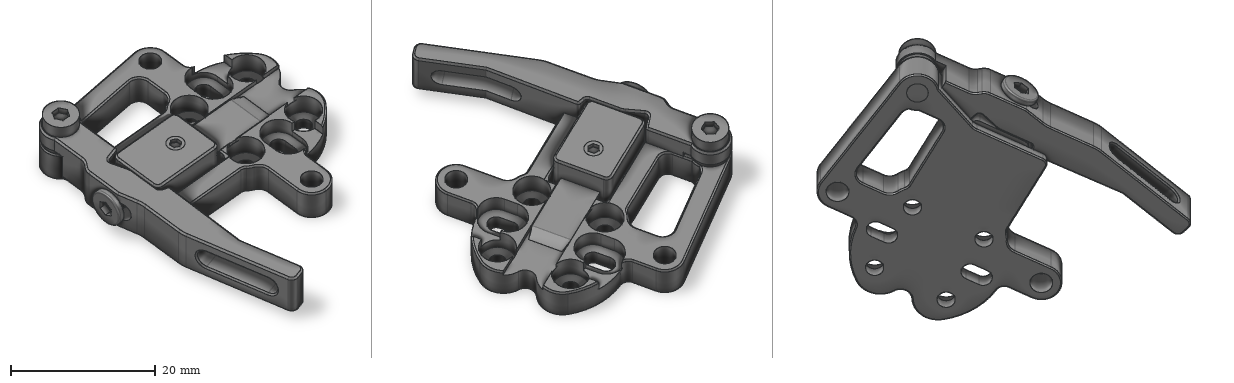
import cadquery as cq
import math

base_top = 4.95
edge_chamfer = 0.25
bottom_chamfer = 0.2

mount_y = 3.0
head_radius = 11.15
lobe_x = 4.55
lobe_y = 8.95
lobe_radius = head_radius - math.hypot(lobe_x, lobe_y - mount_y)
notch_bottom_y = 10.0
neck_fillet = 1.35

mount_offset = 5.6
mount_hole_diameter = 2.5
counterbore_diameter = 5.25
mount_seat_z = 1.73
slot_offset = 7.45
slot_width = 2.55
slot_travel = 2.0
slot_seat_z = 2.35
mount_wall_radius = 3.3
mount_wall_ear_fillet = 1.85
mount_wall_side_fillet = 1.25

relief_floor_z = 3.35
relief_inner_x = 6.4
relief_bottom_y = 3.35
relief_top_y = 8.3

ear_x = 16.0
ear_radius = 2.85
ear_hole_diameter = 3.15
pivot_x = -13.8
pivot_y = -19.55
boss_radius = 3.0
body_half_width = 7.75
body_front_y = -18.1
bar_end_x = -4.1
boss_end_x = -11.45
window_left_top_x = -15.5
window_left_bottom_x = -14.0
window_bottom_y = -17.0

channel_half_width = 3.05
channel_floor_z = 4.2
recess_half_width = 4.7
recess_back_y = -5.25
recess_corner = 1.0
recess_floor_z = 1.5

lever_top = 8.1
lever_bottom = 1.5
lever_mid_z = (lever_top + lever_bottom) / 2
lever_top_chamfer = 0.3
eye_bottom = 5.65
eye_step_x = -10.75
lever_back_y = -17.2
lever_front_y = -22.25
pad_front_y = -23.35
pad_back_y = -18.7
handle_front_y = -22.4
handle_angle = math.radians(15)
handle_bend_x = 13.1
handle_back_x = 19.6
handle_back_y = -17.4
handle_end_x = 30.6
handle_corner = 1.05
handle_slot_width = 3.0
handle_slot_length = 12.95
handle_slot_start = 2.35
handle_slot_chamfer = 0.25
draw_hole_diameter = 3.15
tilted_hole_x = 1.95

block_half_width = 4.5
block_back_y = -6.55
block_corner = 1.0
tongue_half_width = 3.0
tongue_top = 4.75
tongue_end_y = 5.0
tongue_ramp_y = 2.9
tongue_end_taper = 0.45

pivot_head_diameter = 5.2
pivot_head_top = 10.05
pivot_shank_diameter = 3.0
washer_radius = 2.8
draw_head_diameter = 5.5
draw_head_front_y = -24.4
draw_head_fillet = 0.25
draw_shank_diameter = 2.5
draw_shank_end_y = -13.3
socket_flats = 2.15
socket_depth = 1.0
set_screw_y = -10.8
set_screw_diameter = 2.65
set_screw_length = 1.7
set_socket_flats = 1.55
set_socket_depth = 0.7


def rounded_outline(corners):
    """Closed wire workplane through (x, y, radius) corners, each rounded by its radius."""
    cuts = []
    for i, (x, y, radius) in enumerate(corners):
        previous_x, previous_y, _ = corners[i - 1]
        next_x, next_y, _ = corners[(i + 1) % len(corners)]
        here = cq.Vector(x, y)
        back = (cq.Vector(previous_x, previous_y) - here).normalized()
        ahead = (cq.Vector(next_x, next_y) - here).normalized()
        half_angle = back.getAngle(ahead) / 2
        reach = radius / math.tan(half_angle)
        bisector = (back + ahead).normalized()
        middle = here + bisector * (radius / math.sin(half_angle) - radius)
        cuts.append((radius, here + back * reach, middle, here + ahead * reach))
    path = cq.Workplane("XY").moveTo(cuts[0][3].x, cuts[0][3].y)
    for radius, start, middle, end in cuts[1:] + cuts[:1]:
        path = path.lineTo(start.x, start.y)
        if radius > 0:
            path = path.threePointArc((middle.x, middle.y), (end.x, end.y))
    return path.close()


def disc(x, y, radius, bottom, top):
    return cq.Workplane("XY", origin=(x, y, bottom)).circle(radius).extrude(top - bottom)


def box(x_min, x_max, y_min, y_max, z_min, z_max):
    size = (x_max - x_min, y_max - y_min, z_max - z_min)
    return cq.Workplane("XY").box(*size, centered=False).translate((x_min, y_min, z_min))


def hex_cutter(plane, flats, depth):
    """Hexagonal prism whose corners lie along the local Y direction of the plane."""
    corner_diameter = flats / math.cos(math.pi / 6)
    return cq.Workplane(plane).transformed(rotate=(0, 0, 90)).polygon(6, corner_diameter).extrude(-depth)


def mounting_head():
    rise = notch_bottom_y - lobe_y
    notch_radius = (lobe_x**2 + rise**2 - lobe_radius**2) / (2 * (lobe_radius - rise))
    notch_y = notch_bottom_y + notch_radius
    share = lobe_radius / (lobe_radius + notch_radius)
    notch_end = (lobe_x * (1 - share), lobe_y + (notch_y - lobe_y) * share)
    growth = head_radius / (head_radius - lobe_radius)
    lobe_end = (lobe_x * growth, mount_y + (lobe_y - mount_y) * growth)
    lobe_top = lobe_y + lobe_radius
    return (
        cq.Workplane("XY")
        .moveTo(-notch_end[0], notch_end[1])
        .threePointArc((0, notch_bottom_y), notch_end)
        .threePointArc((lobe_x, lobe_top), lobe_end)
        .threePointArc((0, mount_y - head_radius), (-lobe_end[0], lobe_end[1]))
        .threePointArc((-lobe_x, lobe_top), (-notch_end[0], notch_end[1]))
        .close()
        .extrude(base_top)
        .intersect(box(-head_radius, head_radius, 0, 2 * head_radius, 0, base_top))
    )


def base_body():
    """Body with both ears and the arm that runs down to the pivot boss."""
    boss_side_y = pivot_y - math.sqrt(boss_radius**2 - (boss_end_x - pivot_x) ** 2)
    run_x = pivot_x + ear_x
    run_y = pivot_y
    direction = math.atan2(run_y, run_x)
    normal = direction - math.acos((ear_radius - boss_radius) / math.hypot(run_x, run_y))
    side = (math.cos(normal), math.sin(normal))
    corners = [
        (-ear_x, ear_radius, 0),
        (ear_x + ear_radius, ear_radius, ear_radius * 0.99),
        (ear_x + ear_radius, -ear_radius, ear_radius * 0.99),
        (body_half_width, -ear_radius, 0),
        (body_half_width, body_front_y, 1.05),
        (bar_end_x, body_front_y, 1.95),
        (boss_end_x, boss_side_y, 0),
        (pivot_x, pivot_y, 0),
        (pivot_x + boss_radius * side[0], pivot_y + boss_radius * side[1], 0),
        (-ear_x + ear_radius * side[0], ear_radius * side[1], 0),
    ]
    return rounded_outline(corners).extrude(base_top)


def window():
    corners = [
        (window_left_top_x, -ear_radius, 1.75),
        (-body_half_width, -ear_radius, 0),
        (-body_half_width, window_bottom_y, 1.5),
        (window_left_bottom_x, window_bottom_y, 1.75),
    ]
    return rounded_outline(corners).extrude(base_top)


def fillet_corner(body, x, y, radius):
    """Fillet the upright edge of the base nearest to (x, y)."""
    corner = cq.selectors.NearestToPointSelector((x, y, base_top / 2))
    return body.edges("|Z").edges(corner).fillet(radius)


def base_blank():
    blank = (
        base_body()
        .union(mounting_head())
        .union(disc(-ear_x, 0, ear_radius, 0, base_top))
        .cut(window())
        .union(disc(pivot_x, pivot_y, boss_radius, 0, base_top))
    )
    neck_x = math.sqrt(head_radius**2 - (ear_radius - mount_y) ** 2)
    wall_y = mount_y - mount_offset
    wall_end_x = mount_offset + math.sqrt(mount_wall_radius**2 - (wall_y + ear_radius) ** 2)
    wall_end_y = wall_y - math.sqrt(mount_wall_radius**2 - (body_half_width - mount_offset) ** 2)
    for side in (-1, 1):
        blank = blank.union(disc(side * mount_offset, wall_y, mount_wall_radius, 0, base_top))
        blank = fillet_corner(blank, side * neck_x, ear_radius, neck_fillet)
        blank = fillet_corner(blank, side * wall_end_x, -ear_radius, mount_wall_ear_fillet)
        blank = fillet_corner(blank, side * body_half_width, wall_end_y, mount_wall_side_fillet)
    return blank


def slider_recess():
    """Recess that opens to the front, with its top edges broken."""
    depth = base_top - recess_floor_z
    length = recess_back_y - body_front_y
    recess = (
        cq.Workplane("XY", origin=(0, recess_back_y - length, recess_floor_z))
        .rect(2 * recess_half_width, 2 * length)
        .extrude(depth)
        .edges("|Z")
        .fillet(recess_corner)
    )
    flare = (
        cq.Workplane("XY", origin=(0, recess_back_y - length, base_top))
        .rect(2 * (recess_half_width + edge_chamfer), 2 * (length + edge_chamfer))
        .extrude(-2 * edge_chamfer, taper=45)
    )
    return recess.union(flare)


def mounting_features():
    cutters = []
    for side in (-1, 1):
        for end in (-1, 1):
            x = side * mount_offset
            y = mount_y + end * mount_offset
            cutters.append(disc(x, y, mount_hole_diameter / 2, 0, base_top))
            cutters.append(disc(x, y, counterbore_diameter / 2, mount_seat_z, base_top))
        slot = cq.Workplane("XY").center(side * slot_offset, mount_y)
        cutters.append(slot.slot2D(slot_travel + slot_width, slot_width).extrude(base_top))
        seat = slot.workplane(offset=slot_seat_z)
        seat = seat.slot2D(slot_travel + counterbore_diameter, counterbore_diameter)
        cutters.append(seat.extrude(base_top - slot_seat_z))
        relief_x = sorted((side * relief_inner_x, side * head_radius))
        cutters.append(box(*relief_x, relief_bottom_y, relief_top_y, relief_floor_z, base_top))
        cutters.append(disc(side * ear_x, 0, ear_hole_diameter / 2, 0, base_top))
    return cutters


def make_base():
    base = base_blank()
    base = base.faces(">Z").edges().chamfer(edge_chamfer)
    base = base.faces("<Z").edges().chamfer(bottom_chamfer)
    for cutter in mounting_features():
        base = base.cut(cutter)
    channel_end_y = lobe_y + lobe_radius
    base = base.cut(
        box(-channel_half_width, channel_half_width, recess_back_y, channel_end_y, channel_floor_z, base_top)
    )
    base = base.cut(slider_recess())
    rebate_x = pivot_x + boss_radius
    base = base.cut(box(rebate_x, ear_x, 2 * lever_back_y, lever_back_y, recess_floor_z, base_top))
    return base.cut(disc(pivot_x, pivot_y, pivot_shank_diameter / 2, 0, base_top))


def handle_point(along):
    """Point on the front face of the slanted handle, measured from its bend."""
    return (
        handle_bend_x + along * math.cos(handle_angle),
        handle_front_y + along * math.sin(handle_angle),
    )


def lever_outline():
    slope = math.tan(handle_angle)
    tip_x, tip_y = handle_point((handle_end_x - handle_bend_x) / math.cos(handle_angle))
    front_line_y = handle_front_y + (handle_back_x - handle_bend_x) * slope
    thickness = (handle_back_y - front_line_y) * math.cos(handle_angle)
    pad_slope_x = 5.0 - (handle_front_y - pad_front_y) / slope
    return [
        (pivot_x, lever_front_y, 0),
        (-6.45, lever_front_y, 1.8),
        (-5.0, pad_front_y, 1.8),
        (pad_slope_x, pad_front_y, 0),
        (5.0, handle_front_y, 5.2),
        (handle_bend_x, handle_front_y, 5.2),
        (tip_x, tip_y, handle_corner),
        (tip_x - thickness * math.sin(handle_angle), tip_y + thickness * math.cos(handle_angle), handle_corner),
        (handle_back_x, handle_back_y, 0),
        (5.25, lever_back_y, 0.4),
        (4.85, pad_back_y, 0.6),
        (-0.7, pad_back_y, 2.45),
        (-4.25, -19.9, 0.6),
        (-5.05, lever_back_y, 0.4),
        (pivot_x, lever_back_y, 0),
    ]


def slanted_plane(along, z):
    """Plane on the slanted front face: local X along the face, local Z out of it."""
    x, y = handle_point(along)
    return cq.Plane(
        origin=(x, y, z),
        xDir=(math.cos(handle_angle), math.sin(handle_angle), 0),
        normal=(math.sin(handle_angle), -math.cos(handle_angle), 0),
    )


def handle_slot():
    middle = handle_slot_start + handle_slot_length / 2
    plane = slanted_plane(middle, lever_mid_z)
    slot = cq.Workplane(plane).slot2D(handle_slot_length, handle_slot_width).extrude(-3 * handle_slot_width)
    rim = (
        cq.Workplane(plane)
        .slot2D(handle_slot_length + 2 * handle_slot_chamfer, handle_slot_width + 2 * handle_slot_chamfer)
        .extrude(-handle_slot_chamfer, taper=45)
    )
    return slot.union(rim)


def make_lever():
    height = lever_top - lever_bottom
    lever = rounded_outline(lever_outline()).extrude(height).translate((0, 0, lever_bottom))
    lever = lever.union(disc(pivot_x, pivot_y, boss_radius, lever_bottom, lever_top))
    lever = lever.faces(">Z").edges().chamfer(lever_top_chamfer)
    lever = lever.faces("<Z").edges().chamfer(bottom_chamfer)
    eye_clearance = box(2 * pivot_x, eye_step_x, 2 * pivot_y, 0, lever_bottom, eye_bottom)
    lever = lever.cut(eye_clearance).cut(handle_slot())
    lever = lever.cut(disc(pivot_x, pivot_y, pivot_shank_diameter / 2, eye_bottom, lever_top))
    hole_length = 2 * (pad_back_y - pad_front_y)
    straight = cq.Workplane("XZ", origin=(0, pad_front_y, lever_mid_z))
    lever = lever.cut(straight.circle(draw_hole_diameter / 2).extrude(-hole_length))
    tilted = cq.Workplane(slanted_plane(0, lever_mid_z)).circle(draw_hole_diameter / 2)
    tilted = tilted.extrude(hole_length, both=True)
    shift = (tilted_hole_x - handle_bend_x, pad_front_y - handle_front_y, 0)
    return lever.cut(tilted.translate(shift))


def make_slider():
    block = (
        box(-block_half_width, block_half_width, pad_back_y, block_back_y, recess_floor_z, lever_top)
        .edges("|Z")
        .fillet(block_corner)
        .faces(">Z")
        .edges()
        .chamfer(lever_top_chamfer)
    )
    narrow = tongue_half_width - tongue_end_taper
    tongue = (
        cq.Workplane("YZ")
        .moveTo(block_back_y - block_corner, channel_floor_z)
        .lineTo(tongue_end_y, channel_floor_z)
        .lineTo(tongue_ramp_y, tongue_top)
        .lineTo(block_back_y - block_corner, tongue_top)
        .close()
        .extrude(tongue_half_width, both=True)
    )
    plan = (
        cq.Workplane("XY")
        .moveTo(-tongue_half_width, block_back_y - block_corner)
        .lineTo(tongue_half_width, block_back_y - block_corner)
        .lineTo(tongue_half_width, tongue_ramp_y)
        .lineTo(narrow, tongue_end_y)
        .lineTo(-narrow, tongue_end_y)
        .lineTo(-tongue_half_width, tongue_ramp_y)
        .close()
        .extrude(lever_top)
    )
    slider = block.union(tongue.intersect(plan))
    set_screw_bottom = lever_top - set_screw_length
    slider = slider.cut(disc(0, set_screw_y, set_screw_diameter / 2, set_screw_bottom, lever_top))
    bore = cq.Workplane("XZ", origin=(0, pad_back_y, lever_mid_z)).circle(draw_shank_diameter / 2)
    return slider.cut(bore.extrude(pad_back_y - draw_shank_end_y))


def make_pivot_screw():
    screw = disc(pivot_x, pivot_y, pivot_head_diameter / 2, lever_top, pivot_head_top)
    screw = screw.union(disc(pivot_x, pivot_y, pivot_shank_diameter / 2, 0, lever_top))
    plane = cq.Plane(origin=(pivot_x, pivot_y, pivot_head_top))
    return screw.cut(hex_cutter(plane, socket_flats, socket_depth))


def make_pivot_washer():
    washer = disc(pivot_x, pivot_y, washer_radius, base_top, eye_bottom)
    return washer.cut(disc(pivot_x, pivot_y, pivot_shank_diameter / 2, base_top, eye_bottom))


def make_draw_screw():
    plane = cq.Plane(origin=(0, draw_head_front_y, lever_mid_z), xDir=(1, 0, 0), normal=(0, -1, 0))
    head_length = pad_front_y - draw_head_front_y
    head = cq.Workplane(plane).circle(draw_head_diameter / 2).extrude(-head_length)
    head = head.edges().fillet(draw_head_fillet)
    shank_length = draw_shank_end_y - draw_head_front_y - head_length
    shank = cq.Workplane(plane).workplane(offset=-head_length)
    screw = head.union(shank.circle(draw_shank_diameter / 2).extrude(-shank_length))
    return screw.cut(hex_cutter(plane, socket_flats, socket_depth))


def make_set_screw():
    screw = disc(0, set_screw_y, set_screw_diameter / 2, lever_top - set_screw_length, lever_top)
    plane = cq.Plane(origin=(0, set_screw_y, lever_top), xDir=(0, 1, 0))
    return screw.cut(hex_cutter(plane, set_socket_flats, set_socket_depth))


base = make_base()
lever = make_lever()
slider = make_slider()
pivot_screw = make_pivot_screw()
pivot_washer = make_pivot_washer()
draw_screw = make_draw_screw()
set_screw = make_set_screw()

result = cq.Compound.makeCompound(
    [
        base.val(),
        lever.val(),
        slider.val(),
        pivot_screw.val(),
        pivot_washer.val(),
        draw_screw.val(),
        set_screw.val(),
    ]
)